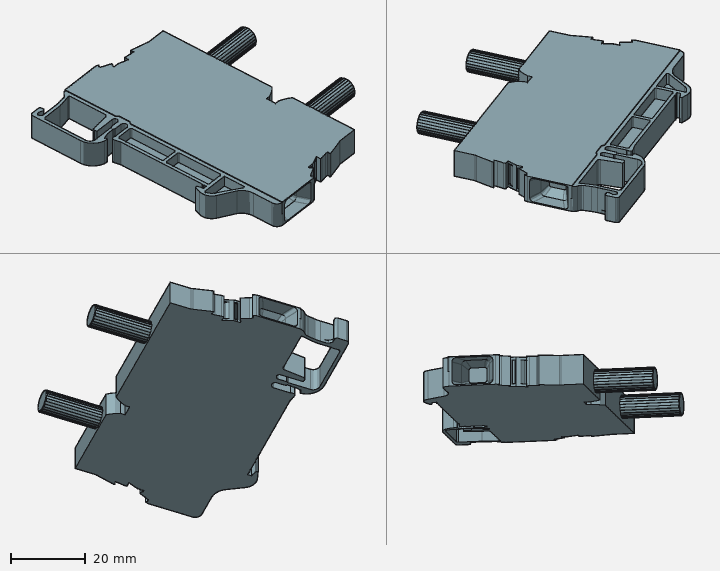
import cadquery as cq
import math

length = 76.05
depth = 66.3
height = 8.1

wall_right = length
wall_left = 0.7
mid_x = (wall_left + wall_right) / 2
housing_top = 49.95
seam_y = 14.15
lip_y = 13.85
mid_z = height / 2
foot_height = 7.9
relief_left = 18.3
relief_right = 23.4
relief_y = 14.45
relief_bevel = 0.6

notch_x = 46.5
notch_floor_half = 1.55
notch_mouth_half = 3.55
notch_bend_half = 2.5
notch_floor_y = 45.2
notch_shoulder_y = 46.5
notch_bend_y = 48.5

side_steps = [
    (wall_left, seam_y),
    (wall_left, 26.8),
    (1.0, 27.8),
    (1.5, 27.35),
    (1.95, 27.35),
    (2.35, 28.1),
    (3.4, 30.4),
    (4.1, 30.1),
    (4.3, 29.8),
    (4.7, 29.8),
    (4.7, 31.6),
    (5.85, 34.6),
    (4.45, 34.6),
    (4.45, 35.3),
    (4.75, 37.2),
    (4.75, 38.1),
    (3.8, 37.85),
    (3.8, 38.3),
    (5.05, 43.4),
    (5.2, 43.9),
    (5.2, housing_top),
]

recess_z = (0.8, 7.3)
upper_recess = [(5.15, 32.85), (5.75, 33.65), (6.6, 34.3), (4.4, 34.3)]
lower_recess = [(4.6, 31.4), (5.3, 30.5), (4.2, 30.5)]

funnel_sections = [
    (0, (14.9, 26.1), (0.35, 7.75), 1.1),
    (3.7, (16.78, 24.4), (0.45, 7.65), 1.1),
    (6.5, (18.2, 23.1), (2.0, 6.1), 0.6),
]

pocket_floor_z = 4.5
pocket_top = 12.7
pocket_bottom = 7.35
pocket_corner = 0.4
pocket_spans = [(24.5, 40.0), (41.0, 55.85)]
hook_web_height = 1.1

pin_xs = (21.2, 55.4)
pin_radius = 3.15
pin_root_radius = 3.0
pin_chamfer = 0.25
pin_splines = 12
pin_embed = 1.0


def mirror_x(shape):
    """Copy of a shape mirrored about the mid plane of the housing."""
    return shape.mirror("YZ", (mid_x, 0, 0))


def box_between(xs, ys, zs):
    size = (xs[1] - xs[0], ys[1] - ys[0], zs[1] - zs[0])
    return cq.Workplane("XY").box(*size, centered=False).translate((xs[0], ys[0], zs[0]))


def make_housing():
    right_steps = [(2 * mid_x - x, y) for x, y in reversed(side_steps)]
    outline = (
        cq.Workplane("XY")
        .polyline(side_steps)
        .lineTo(notch_x - notch_mouth_half, housing_top)
        .threePointArc(
            (notch_x - notch_bend_half, notch_bend_y),
            (notch_x - notch_floor_half, notch_shoulder_y),
        )
        .lineTo(notch_x - notch_floor_half, notch_floor_y)
        .lineTo(notch_x + notch_floor_half, notch_floor_y)
        .lineTo(notch_x + notch_floor_half, notch_shoulder_y)
        .threePointArc(
            (notch_x + notch_bend_half, notch_bend_y),
            (notch_x + notch_mouth_half, housing_top),
        )
    )
    for point in right_steps:
        outline = outline.lineTo(*point)
    housing = outline.close().extrude(height)
    lip = box_between((wall_left, wall_right), (lip_y, seam_y), (mid_z, height))
    return housing.union(lip)


def make_foot():
    return (
        cq.Workplane("XY")
        .moveTo(wall_left, seam_y)
        .threePointArc((0.95, 13.25), (1.5, 12.5))
        .threePointArc((2.1, 11.9), (2.4, 11.1))
        .lineTo(2.7, 8.95)
        .threePointArc((2.78, 8.1), (2.8, 7.3))
        .lineTo(2.8, 1.9)
        .threePointArc((2.0, 1.2), (1.2, 2.2))
        .lineTo(1.75, 3.5)
        .lineTo(1.4, 4.1)
        .lineTo(0.7, 4.1)
        .threePointArc((0.2, 3.9), (0, 3.4))
        .lineTo(0, 0.85)
        .threePointArc((0.25, 0.25), (0.85, 0))
        .lineTo(17.45, 0)
        .threePointArc((21.16, 1.54), (22.55, 4.0))
        .lineTo(22.65, 5.0)
        .lineTo(21.75, 5.0)
        .lineTo(21.3, 6.5)
        .lineTo(21.15, 9.2)
        .lineTo(21.5, 9.6)
        .lineTo(21.5, 12.3)
        .threePointArc((22.5, 13.2), (23.55, 12.3))
        .lineTo(23.55, 7.4)
        .lineTo(23.4, 7.4)
        .lineTo(23.4, 6.2)
        .lineTo(23.8, 5.9)
        .lineTo(24.2, 5.9)
        .lineTo(26.3, 6.35)
        .lineTo(54.4, 6.35)
        .lineTo(54.8, 6.15)
        .lineTo(55.1, 6.35)
        .lineTo(55.85, 6.35)
        .lineTo(55.85, 5.25)
        .lineTo(53.9, 4.75)
        .lineTo(53.9, 4.1)
        .lineTo(56.0, 3.4)
        .threePointArc((58.7, 3.5), (60.5, 5.05))
        .lineTo(63.5, 10.05)
        .threePointArc((65.2, 11.5), (67.6, 12.05))
        .lineTo(74.0, 12.05)
        .threePointArc((75.45, 12.65), (wall_right, seam_y))
        .close()
        .extrude(foot_height)
    )


def make_relief():
    corners = [
        (relief_left, lip_y),
        (relief_left + relief_bevel, relief_y),
        (relief_right - relief_bevel, relief_y),
        (relief_right, lip_y),
    ]
    return (
        cq.Workplane("XY", origin=(0, 0, foot_height))
        .polyline(corners)
        .close()
        .extrude(height - foot_height)
    )


def make_hook_opening():
    """Opening inside the hook, joined with the slot between finger and spring leg."""
    return (
        cq.Workplane("XY")
        .moveTo(3.1, 12.75)
        .lineTo(15.6, 12.75)
        .threePointArc((16.1, 12.55), (16.3, 12.1))
        .lineTo(17.0, 5.9)
        .lineTo(17.7, 5.7)
        .lineTo(18.4, 5.9)
        .lineTo(18.4, 12.4)
        .threePointArc((19.25, 13.2), (20.1, 12.4))
        .lineTo(20.1, 9.9)
        .lineTo(20.3, 9.5)
        .lineTo(20.3, 2.9)
        .threePointArc((19.7, 1.55), (18.3, 1.0))
        .lineTo(4.4, 1.0)
        .lineTo(3.9, 1.5)
        .lineTo(3.85, 7.9)
        .threePointArc((3.55, 10.0), (3.1, 12.1))
        .close()
        .extrude(foot_height)
    )


def make_hook_web():
    """Thin web that closes the bottom of the hook gap."""
    return (
        cq.Workplane("XY")
        .moveTo(0.7, 0.7)
        .lineTo(3.2, 0.7)
        .lineTo(3.2, 6.0)
        .lineTo(2.8, 6.0)
        .threePointArc((2.53, 4.93), (1.8, 4.1))
        .lineTo(0.7, 4.1)
        .close()
        .extrude(hook_web_height)
    )


def make_pockets():
    pockets = (
        cq.Workplane("XY", origin=(0, 0, pocket_floor_z))
        .moveTo(56.95, pocket_top)
        .lineTo(63.9, pocket_top)
        .lineTo(63.9, 12.0)
        .lineTo(59.6, 5.7)
        .threePointArc((58.6, 4.7), (57.3, 4.2))
        .lineTo(56.95, 4.5)
        .close()
        .extrude(height)
    )
    for span in pocket_spans:
        pocket = box_between(span, (pocket_bottom, pocket_top), (pocket_floor_z, foot_height))
        pockets = pockets.union(pocket.edges("|Z").fillet(pocket_corner))
    return pockets


def rounded_rectangle(x, ys, zs, corner):
    """Closed wire in the plane of a constant X, with rounded corners."""
    sketch = cq.Sketch().rect(ys[1] - ys[0], zs[1] - zs[0]).vertices().fillet(corner)
    center = (x, (ys[0] + ys[1]) / 2, (zs[0] + zs[1]) / 2)
    placed = cq.Workplane("YZ", origin=center).placeSketch(sketch)
    return placed.extrude(1).faces("<X").wires().val()


def make_funnel():
    wires = [rounded_rectangle(wall_left + inset, *shape) for inset, *shape in funnel_sections]
    return cq.Workplane(cq.Solid.makeLoft(wires, True))


def make_latch_recesses():
    recesses = cq.Workplane("XY", origin=(0, 0, recess_z[0]))
    for corners in (upper_recess, lower_recess):
        recesses = recesses.polyline(corners).close()
    return recesses.extrude(recess_z[1] - recess_z[0])


def make_pin(x):
    start_y = housing_top - pin_embed
    pin_length = depth - start_y
    base = cq.Workplane("XZ", origin=(x, start_y, mid_z))
    pin = base.circle(pin_radius).extrude(-pin_length).faces(">Y").chamfer(pin_chamfer)
    strip = math.pi / pin_splines
    outer = 2 * pin_radius
    for index in range(pin_splines):
        start = math.pi - 2 * strip * index
        corners = [
            (radius * math.cos(angle), radius * math.sin(angle))
            for radius, angle in (
                (pin_root_radius, start),
                (outer, start),
                (outer, start - strip),
                (pin_root_radius, start - strip),
            )
        ]
        middle = start - strip / 2
        root = (pin_root_radius * math.cos(middle), pin_root_radius * math.sin(middle))
        groove = base.polyline(corners).threePointArc(root, corners[0]).close()
        pin = pin.cut(groove.extrude(-pin_length))
    return pin


foot = make_foot().cut(make_hook_opening()).union(make_hook_web()).cut(make_pockets())

result = make_housing().union(foot).cut(make_relief())
for side_cut in (make_funnel(), make_latch_recesses()):
    result = result.cut(side_cut).cut(mirror_x(side_cut))
for pin_x in pin_xs:
    result = result.union(make_pin(pin_x))